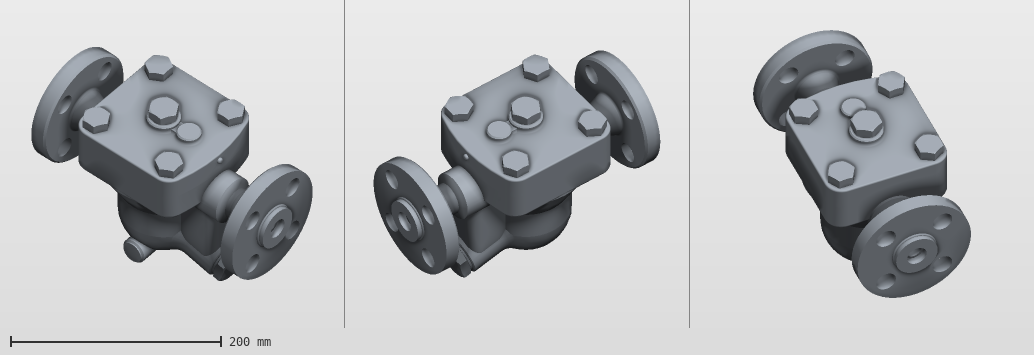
import cadquery as cq
import math


HALF_LENGTH = 132.0
RAISED_FACE_D = 42.8
RAISED_FACE_LAND = 4.8
FLANGE_D = 117.0
FLANGE_FACE_X = 125.7
FLANGE_BACK_X = 109.0
FLANGE_CHAMFER = 2.0
HUB_ROOT_D = 48.0
HUB_FILLET = 2.5
HUB_D = 42.8
HUB_END_X = 91.3
NECK_D = 32.0
WELD_D = 33.0
WELD_END_X = 85.3
SHOULDER_START_X = 80.0
SHOULDER_END_X = 75.5
PIPE_D = 48.0
FLANGE_HOLE_D = 20.0
FLANGE_HOLE_OFFSET = 29.0
PORT_D = 20.0
PORT_DEPTH = 8.0
BORE_D = 15.0

VESSEL_X = -10.3
VESSEL_R = 43.8
DOME_Z = -62.5
CONE_BOTTOM_Z = -32.5
CONE_BREAK_Z = -18.7
CONE_BREAK_R = 51.7

RIM_WIDTH = 125.0
RIM_HALF_WIDTH = RIM_WIDTH / 2
CORNER_R = 17.2
BOLT_OFFSET = RIM_HALF_WIDTH - CORNER_R
RIM_BOTTOM_Z = 0.5
JOINT_Z = 29.5
COVER_TOP_Z = 51.7
COVER_FILLET = 1.8
RIM_FILLET = 3.5
COVER_BULGE_X = 59.1
RIM_BULGE_X = 57.5

BOLT_FLATS = 24.0
BOLT_TOP_Z = 62.0
BOLT_CHAMFER = 0.8
BOLT_CLEARANCE_R = 9.0
BOLT_CLEARANCE_DEPTH = 21.0

BOSS_TOP_Z = 58.3
BOSS_CHAMFER = 1.3
BOSS_FLARE = 3.0
MAIN_BOSS_D = 33.0
SMALL_BOSS_D = 24.0
SMALL_BOSS_X = 21.0
BRIDGE_WIDTH = 13.5
BRIDGE_TOP_Z = 54.6
PLUG_NECK_D = 26.0
PLUG_FLATS = 26.5
PLUG_BOTTOM_Z = 59.5
PLUG_TOP_Z = 69.5
PLUG_CHAMFER = 1.0

PIN_D = 6.3
PIN_Z = 43.8
PIN_TIP_X = 62.0
PIN_FILLET = 2.0
PIN_ROOT_X = 52.8

DRAIN_D = 26.0
DRAIN_TIP_D = 22.0
DRAIN_Z = -92.7
DRAIN_REACH = 46.0
DRAIN_SHOULDER = 43.3
DRAIN_TIP_LAND = 1.0
DRAIN_FILLET = 4.0

BRANCH_TILT = 15.0
BRANCH_D = 44.0
BRANCH_R = BRANCH_D / 2
BRANCH_FILLET = 17.2
BRANCH_END = 79.7
BRANCH_CHAMFER = 1.0
GASKET_D = 38.0
GASKET_END = 81.8
CAP_FLATS = 36.7
CAP_END = 92.0
CAP_CHAMFER = 1.3
BLOCK_HALF_WIDTH = 20.3
BLOCK_END_X = 67.3
BLOCK_CORNER_R = 12.0
BLOCK_BOTTOM_Z = -79.2


def cylinder_z(diameter, bottom, top, x=0.0, y=0.0):
    return cq.Workplane("XY", origin=(x, y, bottom)).circle(diameter / 2).extrude(top - bottom)


def cylinder_x(diameter, start, end, y=0.0, z=0.0):
    return cq.Workplane("YZ", origin=(start, y, z)).circle(diameter / 2).extrude(end - start)


def hex_head(flats, bottom, top, chamfer, turn=0.0, both_ends=False):
    """Hexagon along Z with its corners trimmed by a cone at the top, or at both ends."""
    corner_r = flats / math.sqrt(3)
    height = top - bottom
    head = cq.Workplane("XY").polygon(6, 2 * corner_r).extrude(height)
    trim_run = corner_r - flats / 2
    trim = cq.Workplane("XY").circle(corner_r).extrude(height)
    trim = trim.faces(">Z or <Z" if both_ends else ">Z").chamfer(chamfer, trim_run)
    head = head.intersect(trim)
    return head.rotate((0, 0, 0), (0, 0, 1), turn).translate((0, 0, bottom))


def flanged_end():
    """Flange, weld neck and shoulder of the -X pipe end, turned about X."""
    face_r = RAISED_FACE_D / 2
    land_x = -HALF_LENGTH + RAISED_FACE_LAND
    face_fillet = -FLANGE_FACE_X - land_x
    fillet_mid = 1 - math.sqrt(0.5)
    hub_rise = (HUB_ROOT_D - HUB_D) / 2
    neck_r = NECK_D / 2
    profile = (
        cq.Workplane("XY")
        .moveTo(-HALF_LENGTH, 0)
        .lineTo(-HALF_LENGTH, face_r)
        .lineTo(land_x, face_r)
        .radiusArc((-FLANGE_FACE_X, face_r + face_fillet), face_fillet)
        .lineTo(-FLANGE_FACE_X, FLANGE_D / 2)
        .lineTo(-FLANGE_BACK_X - FLANGE_CHAMFER, FLANGE_D / 2)
        .lineTo(-FLANGE_BACK_X, FLANGE_D / 2 - FLANGE_CHAMFER)
        .lineTo(-FLANGE_BACK_X, HUB_ROOT_D / 2)
        .threePointArc(
            (-FLANGE_BACK_X + HUB_FILLET * fillet_mid, HUB_D / 2 + hub_rise * fillet_mid),
            (-FLANGE_BACK_X + HUB_FILLET, HUB_D / 2),
        )
        .lineTo(-HUB_END_X, neck_r)
        .threePointArc((-(HUB_END_X + WELD_END_X) / 2, WELD_D / 2), (-WELD_END_X, neck_r))
        .lineTo(-SHOULDER_START_X, neck_r)
        .lineTo(-SHOULDER_END_X, PIPE_D / 2)
        .lineTo(-SHOULDER_END_X, 0)
        .close()
    )
    end = profile.revolve(360, (0, 0, 0), (1, 0, 0))
    for y_side in (-1, 1):
        for z_side in (-1, 1):
            hole = cylinder_x(
                FLANGE_HOLE_D,
                -FLANGE_FACE_X,
                -FLANGE_BACK_X,
                y_side * FLANGE_HOLE_OFFSET,
                z_side * FLANGE_HOLE_OFFSET,
            )
            end = end.cut(hole)
    port = cylinder_x(PORT_D, -HALF_LENGTH, -HALF_LENGTH + PORT_DEPTH)
    bore = cylinder_x(BORE_D, -HALF_LENGTH, -SHOULDER_END_X)
    return end.cut(port).cut(bore)


def vessel():
    """Domed cylinder that widens in a cone to meet the rim."""
    inside_rim_z = RIM_BOTTOM_Z + RIM_FILLET
    dome_mid = VESSEL_R * math.sqrt(0.5)
    profile = (
        cq.Workplane("XZ")
        .moveTo(0, DOME_Z - VESSEL_R)
        .threePointArc((dome_mid, DOME_Z - dome_mid), (VESSEL_R, DOME_Z))
        .lineTo(VESSEL_R, CONE_BOTTOM_Z)
        .lineTo(CONE_BREAK_R, CONE_BREAK_Z)
        .lineTo(RIM_HALF_WIDTH, RIM_BOTTOM_Z)
        .lineTo(RIM_HALF_WIDTH, inside_rim_z)
        .lineTo(0, inside_rim_z)
        .close()
    )
    return profile.revolve(360, (0, 0, 0), (0, 1, 0)).translate((VESSEL_X, 0, 0))


def bolt_positions():
    return [(VESSEL_X + sx * BOLT_OFFSET, sy * BOLT_OFFSET) for sx in (-1, 1) for sy in (-1, 1)]


def rim_outline(z, bulge_x):
    """Rounded square centred on the bolts, with its +X side bowed out to bulge_x."""
    left = VESSEL_X - RIM_HALF_WIDTH
    bolt_left = VESSEL_X - BOLT_OFFSET
    bolt_right = VESSEL_X + BOLT_OFFSET
    half = RIM_HALF_WIDTH
    reach = bulge_x - bolt_right - CORNER_R
    bow_offset = (BOLT_OFFSET**2 - reach**2) / (2 * reach)
    bow_angle = math.atan2(BOLT_OFFSET, bow_offset)
    tangent_x = bolt_right + CORNER_R * math.cos(bow_angle)
    tangent_y = BOLT_OFFSET + CORNER_R * math.sin(bow_angle)
    mid_angle = (bow_angle + math.pi / 2) / 2
    mid_x = bolt_right + CORNER_R * math.cos(mid_angle)
    mid_y = BOLT_OFFSET + CORNER_R * math.sin(mid_angle)
    diagonal = CORNER_R * math.sqrt(0.5)
    left_mid_x = bolt_left - diagonal
    left_mid_y = BOLT_OFFSET + diagonal
    return (
        cq.Workplane("XY", origin=(0, 0, z))
        .moveTo(bolt_left, -half)
        .lineTo(bolt_right, -half)
        .threePointArc((mid_x, -mid_y), (tangent_x, -tangent_y))
        .threePointArc((bulge_x, 0), (tangent_x, tangent_y))
        .threePointArc((mid_x, mid_y), (bolt_right, half))
        .lineTo(bolt_left, half)
        .threePointArc((left_mid_x, left_mid_y), (left, BOLT_OFFSET))
        .lineTo(left, -BOLT_OFFSET)
        .threePointArc((left_mid_x, -left_mid_y), (bolt_left, -half))
        .close()
    )


def cover_plate():
    plate = rim_outline(JOINT_Z, COVER_BULGE_X).extrude(COVER_TOP_Z - JOINT_Z)
    return plate.faces(">Z").edges().fillet(COVER_FILLET)


def rim():
    """Lower half of the bolted joint; its bowed side leans inward toward the bottom."""
    bottom = rim_outline(RIM_BOTTOM_Z, RIM_BULGE_X).wires().val()
    top = rim_outline(JOINT_Z, COVER_BULGE_X).wires().val()
    body = cq.Workplane(cq.Solid.makeLoft([bottom, top], True))
    return body.faces("<Z").edges().fillet(RIM_FILLET)


def boss(diameter, x):
    """Chamfered boss on the cover with a concave flare at its foot."""
    radius = diameter / 2
    profile = (
        cq.Workplane("XZ")
        .moveTo(0, COVER_TOP_Z)
        .lineTo(radius + BOSS_FLARE, COVER_TOP_Z)
        .radiusArc((radius, COVER_TOP_Z + BOSS_FLARE), BOSS_FLARE)
        .lineTo(radius, BOSS_TOP_Z - BOSS_CHAMFER)
        .lineTo(radius - BOSS_CHAMFER, BOSS_TOP_Z)
        .lineTo(0, BOSS_TOP_Z)
        .close()
    )
    return profile.revolve(360, (0, 0, 0), (0, 1, 0)).translate((x, 0, 0))


def boss_bridge():
    """Low web with concave sides between the two cover bosses."""
    half = BRIDGE_WIDTH / 2
    rise = BRIDGE_TOP_Z - COVER_TOP_Z
    profile = (
        cq.Workplane("YZ", origin=(VESSEL_X, 0, 0))
        .moveTo(-half - rise, COVER_TOP_Z)
        .lineTo(half + rise, COVER_TOP_Z)
        .radiusArc((half, BRIDGE_TOP_Z), rise)
        .lineTo(-half, BRIDGE_TOP_Z)
        .radiusArc((-half - rise, COVER_TOP_Z), rise)
        .close()
    )
    return profile.extrude(SMALL_BOSS_X - VESSEL_X)


def vent_pin():
    pin = cylinder_x(PIN_D, PIN_ROOT_X, PIN_TIP_X, z=PIN_Z)
    return pin.faces(">X").edges().fillet(PIN_FILLET)


def drain_stub():
    """Stub pointing along -X from the vessel axis, stepped down to a narrower tip."""
    radius = DRAIN_D / 2
    tip_r = DRAIN_TIP_D / 2
    profile = (
        cq.Workplane("XY")
        .lineTo(0, radius)
        .lineTo(-DRAIN_SHOULDER, radius)
        .lineTo(-DRAIN_REACH + DRAIN_TIP_LAND, tip_r)
        .lineTo(-DRAIN_REACH, tip_r)
        .lineTo(-DRAIN_REACH, 0)
        .close()
    )
    return profile.revolve(360, (0, 0, 0), (1, 0, 0)).translate((VESSEL_X, 0, DRAIN_Z))


def strainer_branch():
    """Branch and hexagon cap about an axis through the dome centre, built upright then tilted."""
    fillet_centre_r = BRANCH_R + BRANCH_FILLET
    dome_to_fillet = VESSEL_R + BRANCH_FILLET
    fillet_end = math.sqrt(dome_to_fillet**2 - fillet_centre_r**2)
    foot_ratio = VESSEL_R / dome_to_fillet
    foot = fillet_end * foot_ratio
    foot_r = fillet_centre_r * foot_ratio
    profile = (
        cq.Workplane("XZ")
        .lineTo(foot_r, 0)
        .lineTo(foot_r, foot)
        .radiusArc((BRANCH_R, fillet_end), BRANCH_FILLET)
        .lineTo(BRANCH_R, BRANCH_END - BRANCH_CHAMFER)
        .lineTo(BRANCH_R - BRANCH_CHAMFER, BRANCH_END)
        .lineTo(0, BRANCH_END)
        .close()
    )
    branch = profile.revolve(360, (0, 0, 0), (0, 1, 0))
    branch = branch.union(cylinder_z(GASKET_D, BRANCH_END, GASKET_END))
    branch = branch.union(hex_head(CAP_FLATS, GASKET_END, CAP_END, CAP_CHAMFER, both_ends=True))
    return branch.rotate((0, 0, 0), (0, 1, 0), 90 + BRANCH_TILT).translate((VESSEL_X, 0, DOME_Z))


def channel_block():
    """Vertical block joining the outlet pipe to the strainer branch."""
    length = BLOCK_END_X - VESSEL_X
    block = cq.Workplane("XY").box(
        length, 2 * BLOCK_HALF_WIDTH, -BLOCK_BOTTOM_Z, centered=(False, True, False)
    )
    block = block.edges("|Z and >X").fillet(BLOCK_CORNER_R)
    return block.translate((VESSEL_X, 0, BLOCK_BOTTOM_Z))


def cover():
    """Cover plate with its vent pin, bolts, bosses and plug."""
    part = cover_plate().union(vent_pin())
    for x, y in bolt_positions():
        turn = 90 if (x - VESSEL_X) * y < 0 else 0
        bolt = hex_head(BOLT_FLATS, COVER_TOP_Z, BOLT_TOP_Z, BOLT_CHAMFER, turn)
        part = part.union(bolt.translate((x, y, 0)))
    part = part.union(boss(MAIN_BOSS_D, VESSEL_X))
    part = part.union(boss(SMALL_BOSS_D, SMALL_BOSS_X))
    part = part.union(boss_bridge())
    part = part.union(cylinder_z(PLUG_NECK_D, BOSS_TOP_Z, PLUG_BOTTOM_Z, VESSEL_X))
    plug = hex_head(PLUG_FLATS, PLUG_BOTTOM_Z, PLUG_TOP_Z, PLUG_CHAMFER, both_ends=True)
    return part.union(plug.translate((VESSEL_X, 0, 0)))


body = vessel().union(drain_stub())
stub_root = cq.selectors.BoxSelector(
    (VESSEL_X - DRAIN_SHOULDER + DRAIN_FILLET, -DRAIN_D, DOME_Z - VESSEL_R),
    (VESSEL_X - DRAIN_FILLET, DRAIN_D, DRAIN_Z + DRAIN_D),
)
body = body.edges(stub_root).fillet(DRAIN_FILLET)
vessel_axis = ((VESSEL_X, 0, 0), (VESSEL_X, 0, 1))
body = body.union(drain_stub().rotate(*vessel_axis, 90))

for bolt_x, bolt_y in bolt_positions():
    clearance = cylinder_z(
        2 * BOLT_CLEARANCE_R, RIM_BOTTOM_Z - BOLT_CLEARANCE_DEPTH, RIM_BOTTOM_Z, bolt_x, bolt_y
    )
    body = body.cut(clearance)

body = body.union(strainer_branch())
body = body.union(channel_block())

body = body.union(cylinder_x(PIPE_D, -SHOULDER_END_X, SHOULDER_END_X))
inlet = flanged_end()
body = body.union(inlet)
body = body.union(inlet.mirror("YZ"))

body = body.union(rim())
result = body.union(cover(), clean=False)